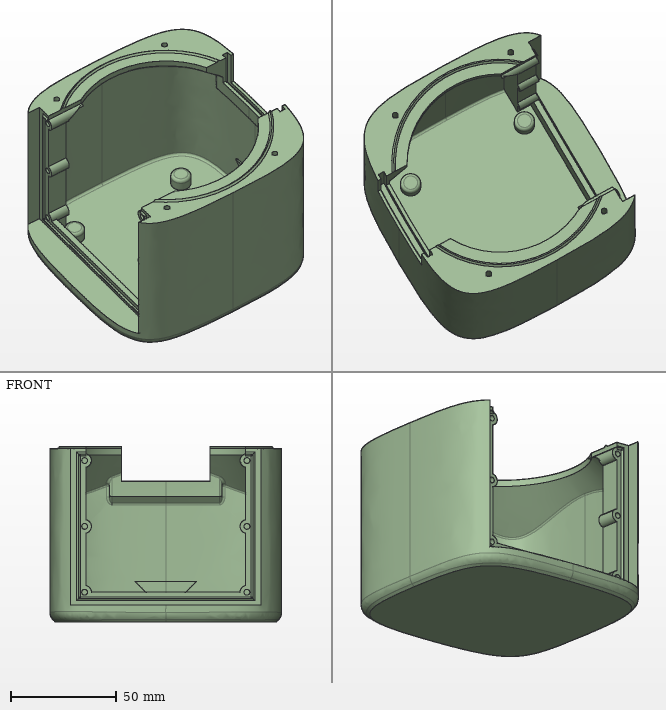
import cadquery as cq
import math

half_width = 55.0
corner_handle = 0.933
top_z = 82.4
base_chamfer = 2.6
base_fillet = 4.7

wall = 2.9
floor_z = 1.6
blend_radius = 1.2
mouth_radius = 44.0
mouth_edge_z = 79.2
block_back_y = -31.1

ridge_height = 0.9
ring_radius = 50.4
frame_center_z = 45.4
frame_half_width = 41.4
frame_half_height = 34.3

face_y = -41.4
recess_half_width = 45.2
recess_floor_z = 8.1
opening_half_width = 38.0
sill_z = 14.2
sill_back_y = -38.4
opening_back_y = -22.0

post_radius = 3.25
screw_diameter = 2.8
post_x = 38.5
post_spacing = 31.2
post_screw_depth = 8.8
lid_hole_x = 45.0
lid_hole_y = 31.5
lid_hole_depth = 8.8

pad_diameter = 9.7
pad_fillet = 1.5
pad_top_z = 7.7
pad_offset = 31.0

notch_half_width = 20.9
notch_floor_z = 66.9
notch_lip_z = 64.2
slot_half_width = 23.4
slot_floor_z = 62.5
slot_outer_inset = 1.6
slot_inner_inset = 4.6
boss_inset = 6.4
boss_half_width = 26.7
boss_bottom_z = 59.6

wedge_top_z = 19.2
wedge_half_width = 14.5
wedge_inset = 3.7


def box(x0, x1, y0, y1, z0, z1):
    """Axis-aligned box between two opposite corners."""
    return cq.Workplane("XY").box(x1 - x0, y1 - y0, z1 - z0, centered=False).translate((x0, y0, z0))


def rounded_outline(inset, z):
    """Closed rounded-square wire at height z, moved inward by inset at its sides and corners."""
    r = half_width - inset
    corner = half_width * (4 + 3 * corner_handle) / 8 - inset / math.sqrt(2)
    h = (8 * corner - 4 * r) / 3
    return (
        cq.Workplane("XY", origin=(0, 0, z))
        .moveTo(r, 0)
        .bezier([(r, 0), (r, h), (h, r), (0, r)])
        .bezier([(0, r), (-h, r), (-r, h), (-r, 0)])
        .bezier([(-r, 0), (-r, -h), (-h, -r), (0, -r)])
        .bezier([(0, -r), (h, -r), (r, -h), (r, 0)])
        .close()
    )


def rounded_prism(inset, z0, z1):
    """Rounded-square prism between two heights."""
    return rounded_outline(inset, z0).extrude(z1 - z0)


def make_shell():
    """Solid block whose bottom edge is a 45 degree chamfer rounded into the side."""
    shell = rounded_prism(0, 0, top_z).faces("<Z").edges().chamfer(base_chamfer)
    near_rim = cq.selectors.BoxSelector(
        (-half_width, -half_width, 0.9 * base_chamfer), (half_width, half_width, 1.1 * base_chamfer)
    )
    return shell.edges(near_rim).fillet(base_fillet)


def make_boss():
    """Thickened rear wall that follows the wall curve and has a 45 degree underside."""
    root_z = boss_bottom_z - (boss_inset - wall)
    lower_wire = rounded_outline(wall, root_z).wire().val()
    upper_wire = rounded_outline(boss_inset, boss_bottom_z).wire().val()
    slope = cq.Workplane("XY").add(cq.Solid.makeLoft([lower_wire, upper_wire], True))
    boss = box(-boss_half_width, boss_half_width, 0, half_width - wall / 2, root_z, top_z)
    boss = boss.cut(slope).cut(rounded_prism(boss_inset, boss_bottom_z, top_z))
    front_corners = cq.selectors.BoxSelector(
        (-half_width, 0, 0), (half_width, half_width - (boss_inset + wall) / 2, top_z)
    )
    return boss.edges(">X or <X").edges(front_corners).fillet(blend_radius)


def make_wedge():
    """Low triangular pad on the rear wall, flat on top with 45 degree flanks."""
    wedge = (
        cq.Workplane("XZ", origin=(0, half_width, wedge_top_z))
        .polyline([(-wedge_half_width, 0), (wedge_half_width, 0), (0, -wedge_half_width)])
        .close()
        .extrude(half_width)
    )
    return wedge.cut(rounded_prism(wedge_inset, 0, top_z))


def make_cavity():
    """Inner space: walls, floor and a conical ceiling narrowing to the round mouth, all blended."""
    cone_radius = 1.5 * half_width
    envelope = (
        cq.Workplane("XZ")
        .polyline([
            (0, 0),
            (cone_radius, 0),
            (cone_radius, mouth_edge_z - (cone_radius - mouth_radius)),
            (mouth_radius, mouth_edge_z),
            (0, mouth_edge_z),
        ])
        .close()
        .revolve(360, (0, 0, 0), (0, 1, 0))
    )
    room = rounded_prism(wall, floor_z, mouth_edge_z).intersect(envelope).cut(make_boss())
    floor_edges = room.faces("<Z").edges()
    ceiling_edges = room.faces("%CONE").edges("not (%CIRCLE or %LINE)")
    near_boss_root = cq.selectors.BoxSelector(
        (-half_width, half_width - 1.5 * wall, boss_bottom_z - boss_inset),
        (half_width, half_width, notch_floor_z),
    )
    boss_edges = room.edges(near_boss_root)
    room = floor_edges.add(ceiling_edges).add(boss_edges).fillet(blend_radius)
    blocks = box(-half_width, half_width, -half_width, block_back_y, 0, top_z)
    return room.cut(blocks).cut(make_wedge())


def make_ring_ridge():
    """Triangular ridge around the mouth on the top face."""
    return (
        cq.Workplane("XZ")
        .polyline([
            (ring_radius - ridge_height, top_z),
            (ring_radius + ridge_height, top_z),
            (ring_radius, top_z + ridge_height),
        ])
        .close()
        .revolve(360, (0, 0, 0), (0, 1, 0))
    )


def make_frame_ridge():
    """Triangular ridge around the front opening, tapered on both flanks."""
    def flank(offset, taper):
        """Rectangle offset from the crest at the face, tapering to the crest itself."""
        return (
            cq.Workplane("XZ", origin=(0, face_y, frame_center_z))
            .rect(2 * (frame_half_width + offset), 2 * (frame_half_height + offset))
            .extrude(ridge_height, taper=taper)
        )
    return flank(ridge_height, 45).cut(flank(-ridge_height, -45))


def y_cylinder(x, z, radius, y0, y1):
    """Cylinder along Y from y0 back to y1."""
    return cq.Workplane("XZ", origin=(x, y0, z)).circle(radius).extrude(y0 - y1)


cavity = make_cavity()
body = make_shell().cut(cavity)

body = body.cut(cq.Workplane("XY", origin=(0, 0, mouth_edge_z)).circle(mouth_radius).extrude(top_z))
body = body.union(make_ring_ridge())

body = body.cut(box(-recess_half_width, recess_half_width, -2 * half_width, face_y, recess_floor_z, 2 * top_z))
body = body.union(make_frame_ridge())
body = body.cut(box(-opening_half_width, opening_half_width, -half_width, opening_back_y, sill_z, 2 * top_z))
body = body.cut(box(-opening_half_width, opening_half_width, sill_back_y, block_back_y, floor_z, top_z))

for side in (-1, 1):
    for row in (-1, 0, 1):
        z = frame_center_z + row * post_spacing
        back_y = opening_back_y if row == 1 else block_back_y
        post = y_cylinder(side * post_x, z, post_radius, face_y, back_y)
        if row == 1:
            post = post.cut(cavity)
        body = body.union(post)
        body = body.cut(y_cylinder(side * post_x, z, screw_diameter / 2, face_y, face_y + post_screw_depth))

body = body.cut(box(-notch_half_width, notch_half_width, 0, 2 * half_width, notch_floor_z, 2 * top_z))
lip = box(-notch_half_width, notch_half_width, 0, half_width, notch_lip_z, top_z)
body = body.cut(lip.cut(rounded_prism(slot_inner_inset, 0, 2 * top_z)))
slot = rounded_prism(slot_outer_inset, slot_floor_z, top_z).cut(rounded_prism(slot_inner_inset, 0, top_z))
body = body.cut(slot.intersect(box(-slot_half_width, slot_half_width, 0, half_width, 0, top_z)))

pad = (
    cq.Workplane("XY", origin=(0, 0, floor_z))
    .rect(2 * pad_offset, 2 * pad_offset, forConstruction=True)
    .vertices()
    .circle(pad_diameter / 2)
    .extrude(pad_top_z - floor_z)
    .faces(">Z")
    .edges()
    .fillet(pad_fillet)
)
body = body.union(pad)
lid_holes = (
    cq.Workplane("XY", origin=(0, 0, top_z))
    .rect(2 * lid_hole_x, 2 * lid_hole_y, forConstruction=True)
    .vertices()
    .circle(screw_diameter / 2)
    .extrude(-lid_hole_depth)
)
result = body.cut(lid_holes)